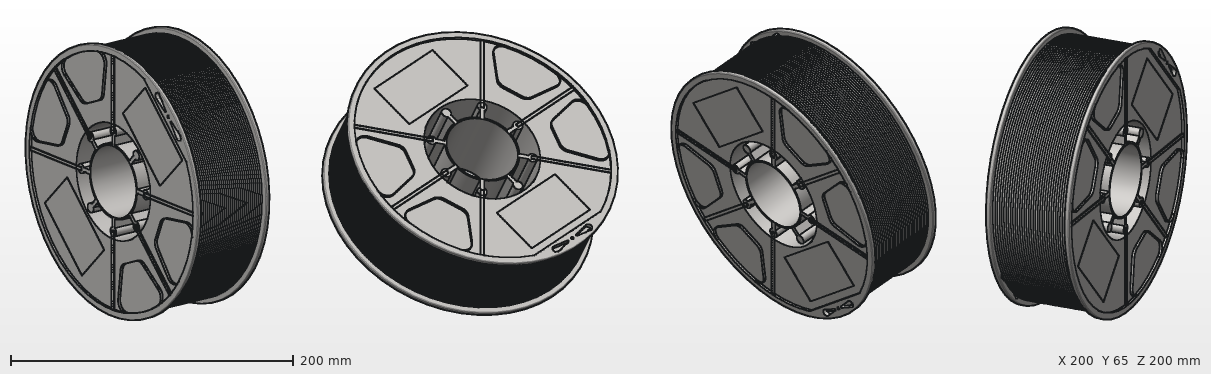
import cadquery as cq
import math

label_angle = 45.0

flange_radius = 100.0
spool_width = 65.0
flange_gap = 58.0
flange_edge_radius = 0.5
flange_inner_face = flange_gap / 2
flange_thickness = spool_width / 2 - flange_inner_face

recess_radius = 95.0
recess_depth = 2.0
recess_chord_distance = 88.4
floor_face = spool_width / 2 - recess_depth

hub_radius = 45.0
hub_bore_radius = 43.0
tube_radius = 27.5
tube_bore_radius = 26.4
spoke_count = 8
spoke_width = 3.2
boss_center_radius = 37.4
boss_diameter = 7.0

rib_angles = [0, 90, 135, 180, 270, 315]
rib_width = 2.5
rib_height = 0.8
rib_inner_radius = 36.4

frame_width = 0.2
frame_corner_radius = 7.5
frame_inner_corners = [(-11.2, 58.5), (-32.8, 49.4)]
frame_end_angles = [94.0, 131.0]

label_length = 60.8
label_width = 36.5
label_center_radius = 64.0
label_depth = 0.3

thread_hole_radius = 93.4
keyhole_large_radius = 2.5
keyhole_small_radius = 0.7
keyhole_large_offset = 17.2
keyhole_small_offset = 4.8
pin_hole_radius = 1.0

turn_count = 33
winding_width = 57.8
turn_pitch = winding_width / turn_count
turn_crest_height = 0.4
winding_radius = 96.0


def front_plane(distance):
    """Sketch plane facing -Y at the given distance from the middle of the spool."""
    return cq.Workplane("XZ", origin=(0, -distance, 0))


def turned(body, angle):
    """Turn a body about the spool axis, from +X towards +Z."""
    return body.rotate((0, 0, 0), (0, -1, 0), angle)


def make_flange_disc():
    disc = front_plane(flange_inner_face).circle(flange_radius).extrude(flange_thickness)
    disc = disc.edges().fillet(flange_edge_radius)
    bore = front_plane(flange_inner_face).circle(hub_bore_radius).extrude(flange_thickness)
    return disc.cut(bore)


def make_recess():
    round_pocket = front_plane(floor_face).circle(recess_radius).extrude(recess_depth)
    chord_limit = (
        front_plane(floor_face)
        .center(recess_chord_distance - flange_radius, 0)
        .rect(2 * flange_radius, 2 * flange_radius)
        .extrude(recess_depth)
    )
    return round_pocket.intersect(turned(chord_limit, label_angle))


def make_rib(angle):
    rib_length = recess_radius - rib_inner_radius
    rib = (
        front_plane(floor_face)
        .center(rib_inner_radius + rib_length / 2, 0)
        .rect(rib_length, rib_width)
        .extrude(rib_height)
    )
    return turned(rib, angle)


def recess_edge_point(angle):
    return (
        recess_radius * math.cos(math.radians(angle)),
        recess_radius * math.sin(math.radians(angle)),
    )


def frame_outline():
    """Outline of the window nearest +Z, closed along the rim of the recess."""
    first_end, last_end = [recess_edge_point(angle) for angle in frame_end_angles]
    arc_middle = recess_edge_point(sum(frame_end_angles) / 2)
    return (
        front_plane(floor_face)
        .polyline([first_end, *frame_inner_corners, last_end])
        .threePointArc(arc_middle, first_end)
        .close()
    )


def make_upper_frame():
    outside = frame_outline().extrude(recess_depth).edges("|Y").fillet(frame_corner_radius)
    inside = (
        frame_outline()
        .offset2D(-frame_width)
        .extrude(recess_depth)
        .edges("|Y")
        .fillet(frame_corner_radius - frame_width)
    )
    return outside.cut(inside)


def make_frames():
    upper = make_upper_frame()
    left = turned(upper.mirror("YZ"), 90)
    frames = []
    for frame in (upper, left):
        frames.append(frame)
        frames.append(turned(frame, 180))
    return frames


def make_label(angle):
    label = (
        front_plane(floor_face - label_depth)
        .center(label_center_radius, 0)
        .rect(label_width, label_length)
        .extrude(label_depth)
    )
    return turned(label, angle)


def make_keyhole(side):
    """Teardrop hole: two circles joined by their common outer tangents."""
    spacing = keyhole_large_offset - keyhole_small_offset
    lean = math.asin((keyhole_large_radius - keyhole_small_radius) / spacing)
    tangent_x = math.cos(lean)
    tangent_z = math.sin(lean)

    def tangent_point(offset, radius, edge):
        return (thread_hole_radius + edge * radius * tangent_x, side * (offset - radius * tangent_z))

    large_end = (thread_hole_radius, side * (keyhole_large_offset + keyhole_large_radius))
    small_end = (thread_hole_radius, side * (keyhole_small_offset - keyhole_small_radius))
    keyhole = (
        front_plane(flange_inner_face)
        .moveTo(*tangent_point(keyhole_large_offset, keyhole_large_radius, 1))
        .threePointArc(large_end, tangent_point(keyhole_large_offset, keyhole_large_radius, -1))
        .lineTo(*tangent_point(keyhole_small_offset, keyhole_small_radius, -1))
        .threePointArc(small_end, tangent_point(keyhole_small_offset, keyhole_small_radius, 1))
        .close()
        .extrude(flange_thickness)
    )
    return turned(keyhole, label_angle)


def make_pin_hole():
    hole = (
        front_plane(flange_inner_face)
        .center(thread_hole_radius, 0)
        .circle(pin_hole_radius)
        .extrude(flange_thickness)
    )
    return turned(hole, label_angle)


def make_flange():
    flange = make_flange_disc().cut(make_recess())
    for frame in make_frames():
        flange = flange.union(frame)
    for angle in rib_angles:
        flange = flange.union(make_rib(angle))
    for angle in (label_angle, label_angle + 180):
        flange = flange.cut(make_label(angle))
    for side in (1, -1):
        flange = flange.cut(make_keyhole(side))
    return flange.cut(make_pin_hole())


def make_spoke(angle):
    spoke_start = (tube_bore_radius + tube_radius) / 2
    spoke_length = boss_center_radius - spoke_start
    web = (
        front_plane(-floor_face)
        .center(spoke_start + spoke_length / 2, 0)
        .rect(spoke_length, spoke_width)
        .extrude(2 * floor_face)
    )
    boss = (
        front_plane(-floor_face)
        .center(boss_center_radius, 0)
        .circle(boss_diameter / 2)
        .extrude(2 * floor_face)
    )
    return turned(web.union(boss), angle)


def make_hub():
    """The hub's outer wall, and its inner tube with the spokes."""
    hub_length = 2 * floor_face
    wall = front_plane(-floor_face).circle(hub_radius).circle(hub_bore_radius).extrude(hub_length)
    tube = front_plane(-floor_face).circle(tube_radius).circle(tube_bore_radius).extrude(hub_length)
    for index in range(spoke_count):
        tube = tube.union(make_spoke(index * 360 / spoke_count))
    return wall, tube


def make_spool():
    front_flange = make_flange()
    rear_flange = front_flange.rotate((0, 0, 0), (1, 0, -1), 180)
    wall, tube = make_hub()
    return wall.union(front_flange).union(rear_flange).union(tube)


def make_filament():
    half_width = winding_width / 2
    valley_radius = winding_radius - turn_crest_height
    profile = cq.Workplane("XY").moveTo(hub_radius, -half_width).lineTo(valley_radius, -half_width)
    for turn in range(turn_count):
        turn_start = -half_width + turn * turn_pitch
        crest = (winding_radius, turn_start + turn_pitch / 2)
        profile = profile.threePointArc(crest, (valley_radius, turn_start + turn_pitch))
    profile = profile.lineTo(hub_radius, half_width).close()
    return profile.revolve(360, (0, 0, 0), (0, 1, 0))


spool = make_spool()
filament = make_filament()

result = cq.Compound.makeCompound([spool.val(), filament.val()])